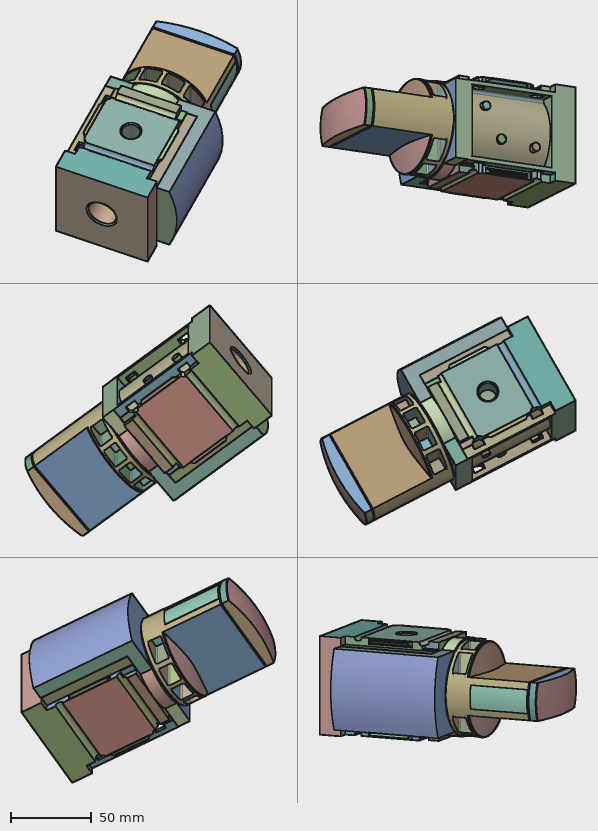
import cadquery as cq
import math

LENGTH = 150.9
BODY_WIDTH = 62.0
TOTAL_WIDTH = 75.8
BODY_HALF = BODY_WIDTH / 2
PORT_BLOCK_END = 14.2
BLOCK_END = 76.0
BODY_END = 84.5
CONNECTION_Y = 45.0

BLOCK_HALF_X = 24.3
FRAME_HALF_Z = 25.8
PLATE_HALF_Z = 25.5
CORNER_STEP_X = 20.2
CORNER_STEP_Y = 66.8
CORNER_STEP_Z = 26.5
COLLAR_HALF_X = 15.1
COLLAR_TOP = 30.6

COVER_START = 13.7
COVER_EDGE_X = 39.7
COVER_TOP_X = TOTAL_WIDTH - BODY_HALF

GROOVE_OFFSET = 22.0
GROOVE_RADIUS = 2.4
NOTCH_OFFSET = 20.5
NOTCH_HALF_Y = 3.6
NOTCH_TIP_HALF_Y = 2.0
NOTCH_OUTER_X = -27.6
NOTCH_BEND_X = -24.0
NOTCH_TIP_X = -22.5
WEDGE_REACH = 2.4
WEDGE_HALF_Y = 14.8
WEDGE_TIP_HALF_Y = 12.4
WEDGE_TOP = 30.5
WEDGE_TIP_BOTTOM = 29.7
WEDGE_ROOT_BOTTOM = 27.2
WEDGE_BEND_BOTTOM = 28.0
WEDGE_BEND_REACH = 0.5

FRONT_PORT_DIAMETER = 18.5
FRONT_PORT_DEPTH = 30.2
FRONT_PORT_CHAMFER = 1.0
TOP_PORT_DIAMETER = 11.5
TOP_PORT_DEPTH = 15.1
TOP_PORT_CHAMFER = 0.9

WINDOW_START = 16.9
WINDOW_END = 72.9
WINDOW_HALF_Z = 23.1
WINDOW_FILLET = 1.4
CORE_RADIUS = 29.5

PIN_DIAMETER = 5.5
PIN_END_X = -30.5
PINS = [
    (62.3, 11.0, PIN_DIAMETER, PIN_END_X),
    (27.5, -10.9, PIN_DIAMETER, PIN_END_X),
    (50.9, -8.6, 6.0, -29.1),
]
PIN_ROOT_X = -22.6

KNOB_RADIUS = 60.0 / 2
NECK_RADIUS = 29.1
RING_START = 85.3
RING_EDGE_Y = 99.0
RING_END = 99.7
RING_CHAMFER = 0.5
CONE_APEX_RISE = 5.7
GRIP_HALF_Z = 12.0
DOME_EDGE_Y = 146.8
DOME_CHAMFER = 0.5
GRIP_GROOVE_Y = 141.2
GRIP_GROOVE_WIDTH = 0.8
GRIP_GROOVE_DEPTH = 0.5
INLAY_START = 101.9
INLAY_END = 140.5
INLAY_HALF_Z = 7.5
INLAY_DEPTH = 0.2

POCKET_START = 88.1
POCKET_END = 97.6
POCKET_FLOOR_Z = 6.0
POCKET_CORNER = 0.9
POCKET_SPANS = [(1.5, 13.6), (16.5, 26.7)]


def box(x_range, y_range, z_range):
    """Box between two limits along each axis."""
    sizes = [limits[1] - limits[0] for limits in (x_range, y_range, z_range)]
    corner = (x_range[0], y_range[0], z_range[0])
    return cq.Workplane("XY").box(*sizes, centered=False).translate(corner)


def section_at(y):
    """XZ sketch plane at the given Y. Its normal is -Y, so lengths toward +Y are negative."""
    return cq.Workplane("XZ", origin=(0, y, 0))


def y_cylinder(radius, start, end):
    """Cylinder on the body axis between two Y positions."""
    return section_at(start).circle(radius).extrude(start - end)


def both_sides(shape, plane):
    """Shape joined with its mirror image."""
    return shape.union(shape.mirror(plane))


def make_collar():
    """Back plate crowned by an arc above and below the flat shoulders."""
    return (
        section_at(BLOCK_END)
        .moveTo(-BODY_HALF, -PLATE_HALF_Z)
        .lineTo(-COLLAR_HALF_X, -PLATE_HALF_Z)
        .threePointArc((0, -COLLAR_TOP), (COLLAR_HALF_X, -PLATE_HALF_Z))
        .lineTo(BODY_HALF, -PLATE_HALF_Z)
        .lineTo(BODY_HALF, PLATE_HALF_Z)
        .lineTo(COLLAR_HALF_X, PLATE_HALF_Z)
        .threePointArc((0, COLLAR_TOP), (-COLLAR_HALF_X, PLATE_HALF_Z))
        .lineTo(-BODY_HALF, PLATE_HALF_Z)
        .close()
        .extrude(BLOCK_END - BODY_END)
    )


def make_cover():
    """Cover along the +X side with an arched outer face."""
    return (
        section_at(COVER_START)
        .moveTo(BLOCK_HALF_X, -PLATE_HALF_Z)
        .lineTo(COVER_EDGE_X, -PLATE_HALF_Z)
        .threePointArc((COVER_TOP_X, 0), (COVER_EDGE_X, PLATE_HALF_Z))
        .lineTo(BLOCK_HALF_X, PLATE_HALF_Z)
        .close()
        .extrude(COVER_START - BODY_END)
    )


def make_wedges():
    """Four clamp wedges on the sides of the raised block, sloped below and at both ends."""
    tip_x = BLOCK_HALF_X + WEDGE_REACH
    bar = (
        section_at(CONNECTION_Y - WEDGE_HALF_Y)
        .moveTo(0, WEDGE_ROOT_BOTTOM)
        .lineTo(BLOCK_HALF_X, WEDGE_ROOT_BOTTOM)
        .lineTo(BLOCK_HALF_X + WEDGE_BEND_REACH, WEDGE_BEND_BOTTOM)
        .lineTo(tip_x, WEDGE_TIP_BOTTOM)
        .lineTo(tip_x, WEDGE_TOP)
        .lineTo(0, WEDGE_TOP)
        .close()
        .extrude(-2 * WEDGE_HALF_Y)
    )
    outline = (
        cq.Workplane("XY")
        .moveTo(0, CONNECTION_Y - WEDGE_HALF_Y)
        .lineTo(BLOCK_HALF_X, CONNECTION_Y - WEDGE_HALF_Y)
        .lineTo(tip_x, CONNECTION_Y - WEDGE_TIP_HALF_Y)
        .lineTo(tip_x, CONNECTION_Y + WEDGE_TIP_HALF_Y)
        .lineTo(BLOCK_HALF_X, CONNECTION_Y + WEDGE_HALF_Y)
        .lineTo(0, CONNECTION_Y + WEDGE_HALF_Y)
        .close()
        .extrude(BODY_HALF)
    )
    return both_sides(both_sides(bar.intersect(outline), "YZ"), "XY")


def make_body():
    """Port block, frame, raised block, back plate and cover, without cuts."""
    full = (-BODY_HALF, BODY_HALF)
    port_block = box(full, (0, PORT_BLOCK_END), full)
    frame = box(full, (PORT_BLOCK_END, BLOCK_END), (-FRAME_HALF_Z, FRAME_HALF_Z))
    raised = box((-BLOCK_HALF_X, BLOCK_HALF_X), (PORT_BLOCK_END, BLOCK_END), full)
    corner = box((CORNER_STEP_X, BLOCK_HALF_X), (CORNER_STEP_Y, BLOCK_END), (CORNER_STEP_Z, BODY_HALF))
    corners = both_sides(both_sides(corner, "YZ"), "XY")
    body = port_block.union(frame).union(raised.cut(corners))
    return body.union(make_collar()).union(make_cover()).union(make_wedges())


def make_clamp_grooves():
    """Round grooves along X, two above and two below."""
    grooves = cq.Workplane("YZ", origin=(-BLOCK_HALF_X, 0, 0))
    centres = [
        (CONNECTION_Y + side * GROOVE_OFFSET, level)
        for side in (-1, 1)
        for level in (-BODY_HALF, BODY_HALF)
    ]
    return grooves.pushPoints(centres).circle(GROOVE_RADIUS).extrude(2 * BLOCK_HALF_X)


def make_notch(center_y):
    """Tapered notch through the top and bottom frame strips on the -X side."""
    notch = (
        cq.Workplane("XY", origin=(0, center_y, 0))
        .moveTo(NOTCH_OUTER_X, -NOTCH_HALF_Y)
        .lineTo(NOTCH_BEND_X, -NOTCH_HALF_Y)
        .lineTo(NOTCH_TIP_X, -NOTCH_TIP_HALF_Y)
        .lineTo(NOTCH_TIP_X, NOTCH_TIP_HALF_Y)
        .lineTo(NOTCH_BEND_X, NOTCH_HALF_Y)
        .lineTo(NOTCH_OUTER_X, NOTCH_HALF_Y)
        .close()
        .extrude(BODY_HALF, both=True)
    )
    return notch.cut(y_cylinder(CORE_RADIUS, 0, BODY_END))


def make_window():
    """Side window around the core, with rounded corners where the core meets its walls."""
    meeting_x = -math.sqrt(CORE_RADIUS**2 - WINDOW_HALF_Z**2)
    cutter = box(
        (-BODY_HALF, meeting_x),
        (WINDOW_START, WINDOW_END),
        (-WINDOW_HALF_Z, WINDOW_HALF_Z),
    ).cut(y_cylinder(CORE_RADIUS, 0, BODY_END))
    return cutter.edges("|Y").edges(">X").fillet(WINDOW_FILLET)


def make_port(diameter, depth, chamfer):
    """Blind port cutter along +Z from the origin, with a chamfered mouth."""
    radius = diameter / 2
    return (
        cq.Workplane("XZ")
        .polyline([
            (0, 0),
            (radius + chamfer, 0),
            (radius, chamfer),
            (radius, depth),
            (0, depth),
        ])
        .close()
        .revolve(360, (0, 0, 0), (0, 1, 0))
    )


def make_pin(y, z, diameter, end_x):
    """Pin standing out of the core toward -X."""
    return cq.Workplane("YZ", origin=(end_x, y, z)).circle(diameter / 2).extrude(PIN_ROOT_X - end_x)


def make_knob_ring():
    """Neck and ring of the knob, closed by a shallow cone."""
    return (
        cq.Workplane("XY")
        .moveTo(0, BODY_END)
        .lineTo(NECK_RADIUS, BODY_END)
        .lineTo(NECK_RADIUS, RING_START)
        .lineTo(KNOB_RADIUS, RING_START)
        .lineTo(KNOB_RADIUS, RING_EDGE_Y)
        .lineTo(KNOB_RADIUS - RING_CHAMFER, RING_END)
        .lineTo(0, RING_END + CONE_APEX_RISE)
        .close()
        .revolve(360, (0, 0, 0), (0, 1, 0))
    )


def make_finger_pockets():
    """Flat-floored pockets sunk into the ring above and below the grip."""
    pockets = cq.Workplane("XY")
    for inner_x, outer_x in POCKET_SPANS:
        pocket = box((inner_x, outer_x), (POCKET_START, POCKET_END), (POCKET_FLOOR_Z, BODY_HALF))
        pockets = pockets.union(pocket.edges("|Z").fillet(POCKET_CORNER))
    return both_sides(both_sides(pockets, "YZ"), "XY")


def make_grip():
    """Flat domed grip of the knob with its parting groove and side inlay."""
    dome_edge_radius = KNOB_RADIUS - DOME_CHAMFER
    dome_rise = LENGTH - DOME_EDGE_Y
    dome_radius = (dome_edge_radius**2 + dome_rise**2) / (2 * dome_rise)
    half_angle = math.asin(dome_edge_radius / dome_radius) / 2
    dome_middle = (
        dome_radius * math.sin(half_angle),
        LENGTH - dome_radius * (1 - math.cos(half_angle)),
    )
    turned = (
        cq.Workplane("XY")
        .moveTo(0, RING_START)
        .lineTo(KNOB_RADIUS, RING_START)
        .lineTo(KNOB_RADIUS, DOME_EDGE_Y - DOME_CHAMFER)
        .lineTo(dome_edge_radius, DOME_EDGE_Y)
        .threePointArc(dome_middle, (0, LENGTH))
        .close()
        .revolve(360, (0, 0, 0), (0, 1, 0))
    )
    flats = box((-KNOB_RADIUS, KNOB_RADIUS), (RING_START, LENGTH), (-GRIP_HALF_Z, GRIP_HALF_Z))
    grip = turned.intersect(flats)

    groove_start = GRIP_GROOVE_Y - GRIP_GROOVE_WIDTH / 2
    groove_end = GRIP_GROOVE_Y + GRIP_GROOVE_WIDTH / 2
    groove_core = y_cylinder(KNOB_RADIUS - GRIP_GROOVE_DEPTH, groove_start, groove_end).intersect(
        box(
            (-KNOB_RADIUS, KNOB_RADIUS),
            (groove_start, groove_end),
            (GRIP_GROOVE_DEPTH - GRIP_HALF_Z, GRIP_HALF_Z - GRIP_GROOVE_DEPTH),
        )
    )
    groove = box(
        (-BODY_HALF, BODY_HALF), (groove_start, groove_end), (-BODY_HALF, BODY_HALF)
    ).cut(groove_core)

    inlay = box(
        (0, BODY_HALF), (INLAY_START, INLAY_END), (-INLAY_HALF_Z, INLAY_HALF_Z)
    ).cut(y_cylinder(KNOB_RADIUS - INLAY_DEPTH, INLAY_START, INLAY_END))
    return grip.cut(groove).cut(inlay)


def make_part():
    """Complete regulator: cut body, pins and knob."""
    part = make_body().cut(make_window()).cut(make_clamp_grooves())
    for side in (-1, 1):
        part = part.cut(make_notch(CONNECTION_Y + side * NOTCH_OFFSET))
    for pin in PINS:
        part = part.union(make_pin(*pin))

    front_port = make_port(FRONT_PORT_DIAMETER, FRONT_PORT_DEPTH, FRONT_PORT_CHAMFER)
    top_port = make_port(TOP_PORT_DIAMETER, TOP_PORT_DEPTH, TOP_PORT_CHAMFER)
    part = part.cut(front_port.rotate((0, 0, 0), (1, 0, 0), -90))
    part = part.cut(
        top_port.rotate((0, 0, 0), (1, 0, 0), 180).translate((0, CONNECTION_Y, BODY_HALF))
    )
    knob = make_knob_ring().union(make_grip()).cut(make_finger_pockets())
    return part.union(knob)


result = make_part()